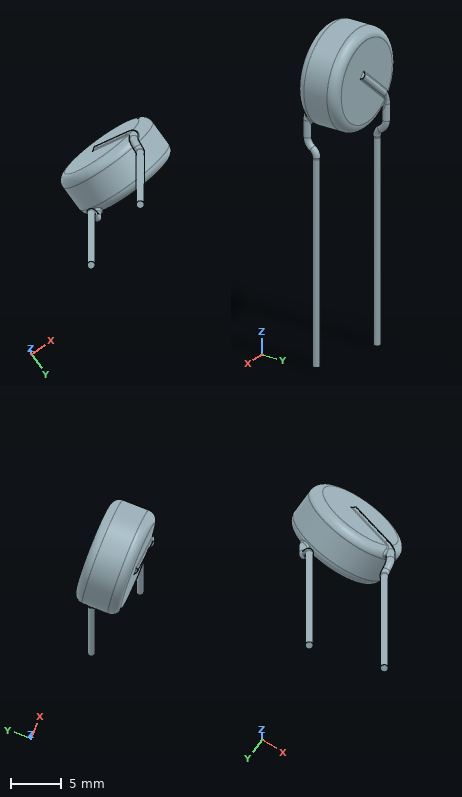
import cadquery as cq
import math

TOTAL_HEIGHT = 36.0
DISC_DIAMETER = 11.0
DISC_THICKNESS = 4.75
RIM_RADIUS = 1.0
DISC_CENTER_Z = TOTAL_HEIGHT - DISC_DIAMETER / 2

COATED_DIAMETER = 0.85
BARE_DIAMETER = 0.8
LEAD_X = 3.75
UPPER_LEAD_Y = 2.15
LOWER_LEAD_Y = 1.08

S_BEND_TOP_Z = 24.75
S_BEND_UPPER_RADIUS = 1.35
S_BEND_LOWER_RADIUS = 0.95
TAPER_HEIGHT = 0.18
ELBOW_START_Z = 26.65
ELBOW_RADIUS = 1.73
SLANT_ANGLE = math.radians(41.5)
SLANT_END_X = -0.72

WELD_RADIUS = 0.18
ON_SURFACE_TOLERANCE = 0.0005

S_BEND_RADII = S_BEND_UPPER_RADIUS + S_BEND_LOWER_RADIUS
S_BEND_ANGLE = math.acos(1 - (UPPER_LEAD_Y - LOWER_LEAD_Y) / S_BEND_RADII)
S_BEND_BOTTOM_Z = S_BEND_TOP_Z - S_BEND_RADII * math.sin(S_BEND_ANGLE)
BARE_TOP_Z = S_BEND_BOTTOM_Z - TAPER_HEIGHT


def make_disc():
    """Disc with both rims rounded."""
    disc = cq.Workplane("XZ", origin=(0, DISC_THICKNESS / 2, DISC_CENTER_Z))
    disc = disc.circle(DISC_DIAMETER / 2).extrude(DISC_THICKNESS)
    return disc.faces("<Y or >Y").edges().fillet(RIM_RADIUS)


def coated_path():
    """Centerline of the coated lead, from its lower end up to its end on the -Y disc face."""
    bend_middle = cq.Vector(
        LEAD_X,
        -LOWER_LEAD_Y - S_BEND_LOWER_RADIUS * (1 - math.cos(S_BEND_ANGLE)),
        S_BEND_BOTTOM_Z + S_BEND_LOWER_RADIUS * math.sin(S_BEND_ANGLE),
    )

    turn = math.pi / 2 - SLANT_ANGLE
    elbow_end_x = LEAD_X - ELBOW_RADIUS * (1 - math.cos(turn))
    elbow_end_z = ELBOW_START_Z + ELBOW_RADIUS * math.sin(turn)
    slant_end_z = elbow_end_z + (elbow_end_x - SLANT_END_X) * math.tan(SLANT_ANGLE)

    up = cq.Vector(0, 0, 1)
    bend_direction = cq.Vector(0, -math.sin(S_BEND_ANGLE), math.cos(S_BEND_ANGLE))
    bend_start = cq.Vector(LEAD_X, -LOWER_LEAD_Y, S_BEND_BOTTOM_Z)
    bend_end = cq.Vector(LEAD_X, -UPPER_LEAD_Y, S_BEND_TOP_Z)
    elbow_start = cq.Vector(LEAD_X, -UPPER_LEAD_Y, ELBOW_START_Z)
    elbow_end = cq.Vector(elbow_end_x, -UPPER_LEAD_Y, elbow_end_z)
    slant_end = cq.Vector(SLANT_END_X, -UPPER_LEAD_Y, slant_end_z)

    return cq.Wire.assembleEdges([
        cq.Edge.makeTangentArc(bend_start, up, bend_middle),
        cq.Edge.makeTangentArc(bend_middle, bend_direction, bend_end),
        cq.Edge.makeLine(bend_end, elbow_start),
        cq.Edge.makeTangentArc(elbow_start, up, elbow_end),
        cq.Edge.makeLine(elbow_end, slant_end),
    ])


def make_lead():
    """Lead on the -Y side: bare straight wire, short taper and coated bent wire."""
    bare = cq.Workplane("XY", origin=(LEAD_X, -LOWER_LEAD_Y, 0)).circle(BARE_DIAMETER / 2)
    bare = bare.extrude(BARE_TOP_Z)
    taper = cq.Solid.makeCone(
        BARE_DIAMETER / 2,
        COATED_DIAMETER / 2,
        TAPER_HEIGHT,
        pnt=cq.Vector(LEAD_X, -LOWER_LEAD_Y, BARE_TOP_Z),
    )
    coated = cq.Workplane("XY", origin=(LEAD_X, -LOWER_LEAD_Y, S_BEND_BOTTOM_Z))
    coated = coated.circle(COATED_DIAMETER / 2).sweep(cq.Workplane(coated_path()))
    return bare.union(taper).union(coated)


def lies_on_surface(edge, body):
    """True when the middle of the edge touches the outer surface of the body."""
    middle = cq.Vertex.makeVertex(*edge.positionAt(0.5).toTuple())
    return body.val().Shells()[0].distance(middle) < ON_SURFACE_TOLERANCE


def weld(body, lead):
    """Join a lead to the body and fillet the seam between them."""
    joined = body.union(lead)
    seam = [
        edge for edge in joined.edges().vals()
        if lies_on_surface(edge, body) and lies_on_surface(edge, lead)
    ]
    return joined.newObject(seam).fillet(WELD_RADIUS)


front_lead = make_lead()
rear_lead = front_lead.rotate((0, 0, 0), (0, 0, 1), 180)
result = weld(weld(make_disc(), front_lead), rear_lead)